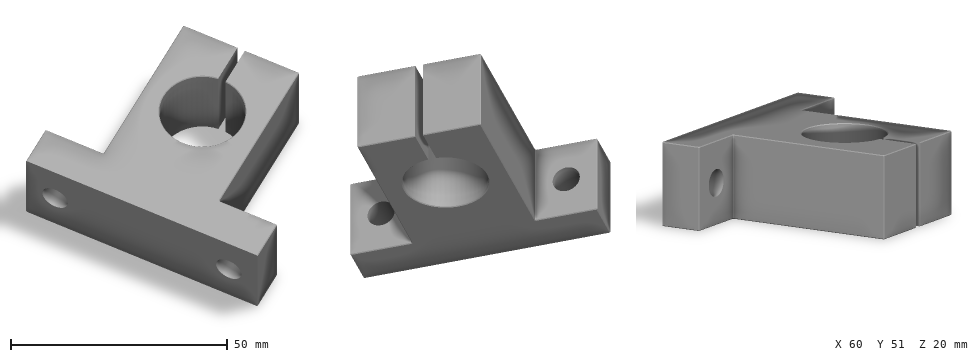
import cadquery as cq

base_width = 60.0
base_depth = 10.0
height = 20.0

block_width = 30.0
total_depth = 51.0

bore_diameter = 20.0
bore_center_y = 31.0
slit_width = 1.9

mount_hole_diameter = 6.6
mount_hole_spacing = 45.0

edge_chamfer = 0.2


def make_body():
    """T-shaped block with every outer edge chamfered except those of the front face."""
    half_base = base_width / 2
    half_block = block_width / 2
    body = (
        cq.Workplane("XY")
        .moveTo(-half_base, 0)
        .lineTo(half_base, 0)
        .lineTo(half_base, base_depth)
        .lineTo(half_block, base_depth)
        .lineTo(half_block, total_depth)
        .lineTo(-half_block, total_depth)
        .lineTo(-half_block, base_depth)
        .lineTo(-half_base, base_depth)
        .close()
        .extrude(height)
    )
    body = body.edges("|Z and (not <Y)").chamfer(edge_chamfer)
    rims = body.faces("<Z or >Z").edges("not <Y")
    return rims.chamfer(edge_chamfer)


def make_bore():
    """Through bore with a chamfered mouth at both ends."""
    radius = bore_diameter / 2
    mouth_radius = radius + edge_chamfer
    return (
        cq.Workplane("XZ")
        .moveTo(0, 0)
        .lineTo(mouth_radius, 0)
        .lineTo(radius, edge_chamfer)
        .lineTo(radius, height - edge_chamfer)
        .lineTo(mouth_radius, height)
        .lineTo(0, height)
        .close()
        .revolve(360, (0, 0), (0, 1))
        .translate((0, bore_center_y, 0))
    )


def make_slit():
    """Slit from the bore out through the back face."""
    slit_length = total_depth - bore_center_y
    return (
        cq.Workplane("XY")
        .center(0, bore_center_y + slit_length / 2)
        .rect(slit_width, slit_length)
        .extrude(height)
    )


def make_mount_holes():
    """Pair of holes along Y through the flange."""
    half_spacing = mount_hole_spacing / 2
    return (
        cq.Workplane("XZ")
        .pushPoints([(-half_spacing, height / 2), (half_spacing, height / 2)])
        .circle(mount_hole_diameter / 2)
        .extrude(-base_depth)
    )


result = make_body().cut(make_bore()).cut(make_slit()).cut(make_mount_holes())